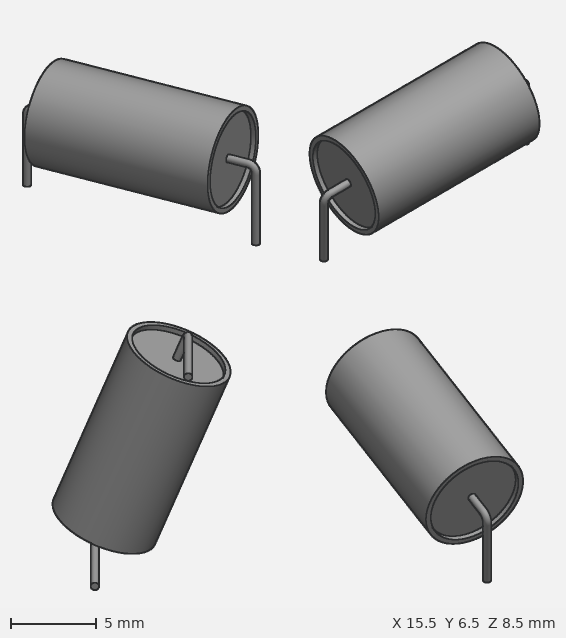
import cadquery as cq

overall_length = 15.5
overall_height = 8.5

body_length = 12.0
body_diameter = 6.5
recess_diameter = 5.85
recess_depth = 0.33

lead_diameter = 0.5
bend_radius = 0.5

body_end_x = body_length / 2
recess_floor_x = body_end_x - recess_depth
lead_x = (overall_length - lead_diameter) / 2
lead_bottom_z = body_diameter / 2 - overall_height


def make_body():
    """Cylinder with a shallow round recess in each end."""
    body = cq.Workplane("YZ", origin=(-body_end_x, 0, 0)).circle(body_diameter / 2).extrude(body_length)
    for end in ("<X", ">X"):
        recess = body.faces(end).workplane(origin=(0, 0, 0)).circle(recess_diameter / 2)
        body = recess.cutBlind(-recess_depth)
    return body


def make_lead():
    """Wire that leaves the +X end on the body axis and bends down."""
    start_x = recess_floor_x - lead_diameter
    path = (
        cq.Workplane("XZ")
        .moveTo(start_x, 0)
        .lineTo(lead_x - bend_radius, 0)
        .tangentArcPoint((lead_x, -bend_radius), relative=False)
        .lineTo(lead_x, lead_bottom_z)
    )
    profile = cq.Workplane("YZ", origin=(start_x, 0, 0)).circle(lead_diameter / 2)
    return profile.sweep(path)


lead = make_lead()
result = make_body().union(lead).union(lead.mirror("YZ"))